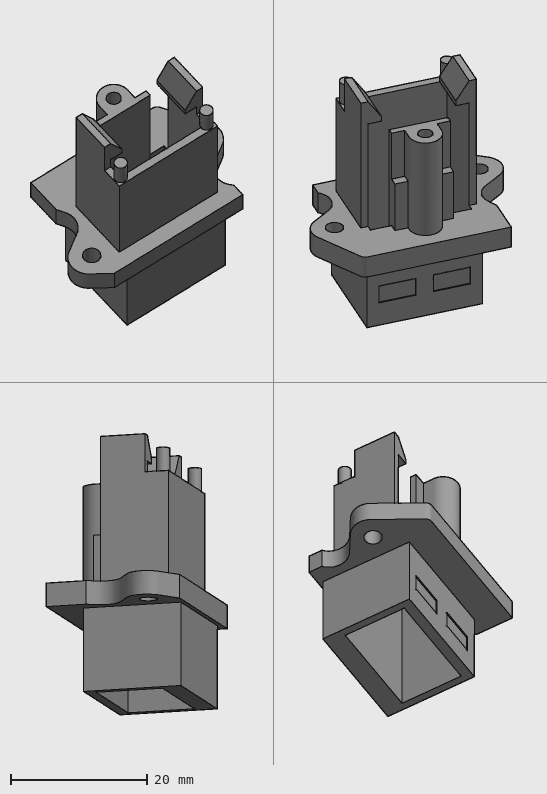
import cadquery as cq
import math


FLANGE_BOTTOM = 12.45
FLANGE_TOP = 16.0
RIB_TOP = 24.2
HOUSING_TOP = 32.3
PIN_TOP = 35.87
CLIP_TOP = 38.0

FLANGE_LENGTH = 20.55
FLANGE_HALF_WIDTH = 11.7
EAR_REACH = 16.23
EAR_RADIUS = 3.05
SLOPE_ANGLE = 30.0
DIP_APEX_Y = 10.55
CORNER_RADIUS = 1.15
CORNER_Y = 11.35
EAR_CHAMFER_ANGLE = 30.0
CHAMFER_END_Y = -11.95
BACK_EAR_X = 8.93
FRONT_EAR_X = 15.95
MOUNT_HOLE_Y = 12.6
MOUNT_HOLE_RADIUS = 1.33

BODY_HALF_WIDTH = 9.05
BODY_START_X = 4.9
BODY_END_X = 19.85

OPENING_START_X = 6.5
OPENING_END_X = 16.7
OPENING_HALF_WIDTH = 7.9
WALL_START_X = 7.5
WALL_END_X = 17.95

CLIP_END_X = 14.35
CLIP_NOSE_Y = 5.8
CLIP_NOSE_TOP = 34.92
CLIP_NOSE_BOTTOM = 34.1

PIN_RADIUS = 1.0
PIN_X = 16.75

BOSS_X = 4.7
BOSS_RADIUS = 2.55
BOSS_HOLE_RADIUS = 1.1
PANEL_HALF_WIDTH = 4.6
RIB_START_X = 5.1

RECESS_INNER_Y = 1.35
RECESS_OUTER_Y = 7.15
RECESS_BOTTOM = 3.95
RECESS_TOP = 6.88
RECESS_DEPTH = 0.2


def block(x0, x1, y0, y1, z0, z1):
    """Box between two opposite corners."""
    return cq.Workplane("XY").box(x1 - x0, y1 - y0, z1 - z0, centered=False).translate((x0, y0, z0))


def cylinder(x, y, radius, z0, z1):
    """Upright cylinder between two levels."""
    return cq.Workplane("XY", origin=(x, y, z0)).circle(radius).extrude(z1 - z0)


def on_arc(center, angle):
    """Point on an ear-sized arc at an angle in degrees from +X."""
    turn = math.radians(angle)
    return (center[0] + EAR_RADIUS * math.cos(turn), center[1] + EAR_RADIUS * math.sin(turn))


def make_flange():
    """Plate whose ears run into matching round transitions at the opposite corners."""
    ear_y = EAR_REACH - EAR_RADIUS
    back_ear = (BACK_EAR_X, ear_y)
    front_ear = (FRONT_EAR_X, -ear_y)

    dip_y = DIP_APEX_Y + EAR_RADIUS
    back_dip = (FRONT_EAR_X, dip_y)
    front_dip = (BACK_EAR_X, -dip_y)
    center_angle = math.atan2(dip_y - ear_y, FRONT_EAR_X - BACK_EAR_X)
    center_distance = math.hypot(FRONT_EAR_X - BACK_EAR_X, dip_y - ear_y)
    flank_angle = math.degrees(center_angle + math.acos(2 * EAR_RADIUS / center_distance))

    slope_start = on_arc(front_dip, 90 + SLOPE_ANGLE)
    slope_run = (FLANGE_HALF_WIDTH + slope_start[1]) / math.tan(math.radians(SLOPE_ANGLE))
    dip_edge_drop = back_dip[1] - FLANGE_HALF_WIDTH
    dip_end = (FRONT_EAR_X + math.sqrt(EAR_RADIUS**2 - dip_edge_drop**2), FLANGE_HALF_WIDTH)

    plate = (
        cq.Workplane("XY", origin=(0, 0, FLANGE_BOTTOM))
        .moveTo(0, -FLANGE_HALF_WIDTH)
        .lineTo(slope_start[0] - slope_run, -FLANGE_HALF_WIDTH)
        .lineTo(*slope_start)
        .threePointArc(on_arc(front_dip, 90), on_arc(front_dip, flank_angle))
        .lineTo(*on_arc(front_ear, 180 + flank_angle))
        .threePointArc(on_arc(front_ear, 270), on_arc(front_ear, -EAR_CHAMFER_ANGLE))
        .lineTo(FLANGE_LENGTH, CHAMFER_END_Y)
        .lineTo(FLANGE_LENGTH, FLANGE_HALF_WIDTH)
        .lineTo(*dip_end)
        .threePointArc(on_arc(back_dip, 270), on_arc(back_dip, 180 + flank_angle))
        .lineTo(*on_arc(back_ear, flank_angle))
        .threePointArc(on_arc(back_ear, 90), on_arc(back_ear, 90 + SLOPE_ANGLE))
        .lineTo(0, CORNER_Y)
        .close()
        .extrude(FLANGE_TOP - FLANGE_BOTTOM)
    )
    corner_middle = (0, CORNER_Y, (FLANGE_BOTTOM + FLANGE_TOP) / 2)
    plate = plate.edges(cq.selectors.NearestToPointSelector(corner_middle)).fillet(CORNER_RADIUS)
    for x, y in ((BACK_EAR_X, MOUNT_HOLE_Y), (FRONT_EAR_X, -MOUNT_HOLE_Y)):
        plate = plate.cut(cylinder(x, y, MOUNT_HOLE_RADIUS, FLANGE_BOTTOM, FLANGE_TOP))
    return plate


def make_clip():
    """Snap clip on the +Y wall, hooked towards the opening."""
    return (
        cq.Workplane("YZ", origin=(WALL_START_X, 0, 0))
        .moveTo(BODY_HALF_WIDTH, FLANGE_TOP)
        .lineTo(BODY_HALF_WIDTH, CLIP_TOP)
        .lineTo(OPENING_HALF_WIDTH, CLIP_TOP)
        .lineTo(CLIP_NOSE_Y, CLIP_NOSE_TOP)
        .lineTo(CLIP_NOSE_Y, CLIP_NOSE_BOTTOM)
        .lineTo(OPENING_HALF_WIDTH, CLIP_NOSE_BOTTOM)
        .lineTo(OPENING_HALF_WIDTH, FLANGE_TOP)
        .close()
        .extrude(CLIP_END_X - WALL_START_X)
    )


def make_boss():
    """Screw boss, joined to its panel by a web, with a lower rib on each side."""
    panel = block(OPENING_START_X, WALL_START_X, -PANEL_HALF_WIDTH, PANEL_HALF_WIDTH, FLANGE_BOTTOM, HOUSING_TOP)
    ribs = block(RIB_START_X, OPENING_START_X, -PANEL_HALF_WIDTH, PANEL_HALF_WIDTH, FLANGE_TOP, RIB_TOP)
    web = block(BOSS_X, OPENING_START_X, -BOSS_RADIUS, BOSS_RADIUS, FLANGE_TOP, HOUSING_TOP)
    post = cylinder(BOSS_X, 0, BOSS_RADIUS, FLANGE_TOP, HOUSING_TOP)
    hole = cylinder(BOSS_X, 0, BOSS_HOLE_RADIUS, FLANGE_TOP, HOUSING_TOP)
    return panel.union(ribs).union(web).union(post).cut(hole)


lower_body = block(BODY_START_X, BODY_END_X, -BODY_HALF_WIDTH, BODY_HALF_WIDTH, 0, FLANGE_BOTTOM)
walls = block(WALL_START_X, WALL_END_X, -BODY_HALF_WIDTH, BODY_HALF_WIDTH, FLANGE_TOP, HOUSING_TOP)
opening = block(OPENING_START_X, OPENING_END_X, -OPENING_HALF_WIDTH, OPENING_HALF_WIDTH, 0, HOUSING_TOP)
result = make_flange().union(lower_body).union(walls).cut(opening)

result = result.union(make_boss())

clip = make_clip()
result = result.union(clip).union(clip.mirror("XZ"))
for side in (-1, 1):
    pin_y = side * OPENING_HALF_WIDTH
    result = result.union(cylinder(PIN_X, pin_y, PIN_RADIUS, HOUSING_TOP, PIN_TOP))

recess = block(
    BODY_START_X, BODY_START_X + RECESS_DEPTH, RECESS_INNER_Y, RECESS_OUTER_Y, RECESS_BOTTOM, RECESS_TOP
)
result = result.cut(recess).cut(recess.mirror("XZ"))